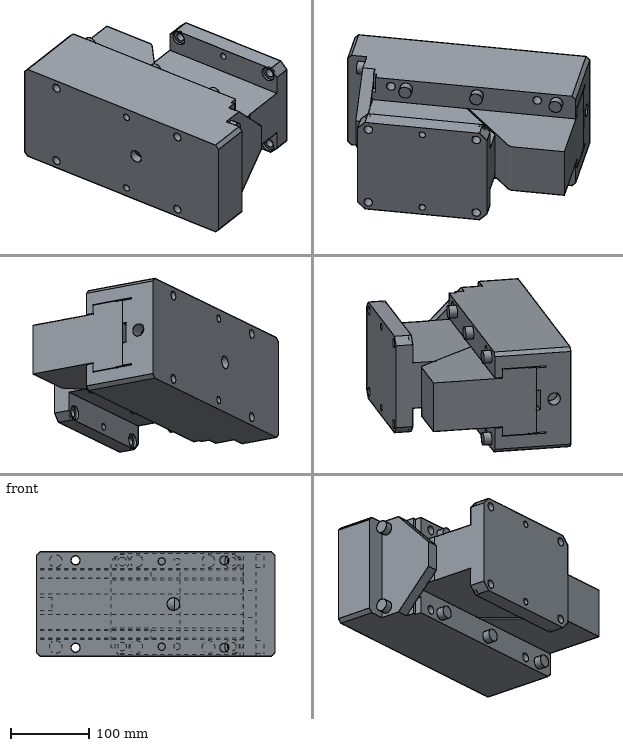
import cadquery as cq
import math


length = 305.0
housing_depth = 99.7
housing_height = 134.0
edge_chamfer = 5.0
base_depth = 51.5
stop_back_x = 280.3
stop_front_x = 264.5
stop_bevel_y = 79.3
stop_top_y = 129.0

slot_floor_y = 45.5
slot_half = 45.0
lip_y = 90.0
lip_half = 33.5
relief_floor_y = 32.5
relief_width = 1.8
groove_floor_y = 40.3
groove_width = 26.2
notch_length = 4.3
notch_depth = 8.8

mount_hole_dia = 11.3
mount_hole_xs = (50.0, 240.0)
mount_hole_z = 55.8
dowel_dia = 9.0
dowel_x = 160.0
dowel_z = 54.5
dowel_depth = 20.0
port_dia = 16.2
port_x = 175.0
port_y = 22.0
side_port_depth = 20.0
core_dia = 24.5
core_end_x = 176.5
port_floor_angle = 38
head_dia = 16.2
head_height = 10.5
head_xs = (24.7, 127.8, 220.0)
head_z = 55.0
stop_head_y = 59.8

wedge_top_y = 180.3
wedge_angle = 50.2
wedge_top_length = 71.0
wedge_corner_radius = 9.0
wedge_flange_half = 44.5
wedge_foot_half = 44.0
wedge_foot_y = 55.5
wedge_stem_half = 32.5

total_depth = 207.0
flange_thickness = 22.0
flange_start_x = 95.5
flange_end_x = 263.8
flange_height = 129.3
flange_chamfer = 9.8
carriage_half = 30.5
pad_top_y = 125.7
bolt_dia = 11.0
bolt_head_dia = 18.3
bolt_head_depth = 3.7
bolt_half_span = 70.0
bolt_z = 54.3
flange_dowel_dia = 8.2


def box(x0, x1, y0, y1, half):
    """Block between the given X and Y limits, reaching `half` each way in Z."""
    return cq.Workplane("XY").box(x1 - x0, y1 - y0, 2 * half, centered=False).translate((x0, y0, -half))


def plate_xy(points, half):
    """XY outline extruded `half` each way in Z."""
    return cq.Workplane("XY").polyline(points).close().extrude(half, both=True)


def rod_y(dia, x, z, y0, y1):
    """Cylinder along Y."""
    return cq.Workplane("XZ", origin=(x, y0, z)).circle(dia / 2).extrude(y0 - y1)


def rod_x(dia, y, z, x0, x1):
    """Cylinder along X."""
    return cq.Workplane("YZ", origin=(x0, y, z)).circle(dia / 2).extrude(x1 - x0)


def ramp_x(y):
    """X of the sloping contact face between wedge and carriage."""
    return wedge_top_length + (wedge_top_y - y) / math.tan(math.radians(wedge_angle))


def make_front_port():
    """Bore in the mounting face, ending on a round core along X and a sloping floor beside it."""
    edge_x = port_x + port_dia / 2
    rise = (edge_x - core_end_x) * math.tan(math.radians(port_floor_angle))
    bore = rod_y(port_dia, port_x, 0, 0, port_y)
    core = rod_x(core_dia, port_y, 0, port_x - port_dia, core_end_x)
    floor = plate_xy([(core_end_x, port_y), (edge_x, port_y), (edge_x, port_y - rise)], port_dia)
    return bore.cut(core).cut(floor)


def make_housing():
    """Stepped block with its end stop, T-slot, holes and screw heads."""
    half = housing_height / 2
    block = box(0, length, 0, housing_depth, half).edges("|Y").chamfer(edge_chamfer)
    block = block.cut(box(stop_back_x, length, base_depth, housing_depth, half))
    block = block.cut(box(stop_front_x, length, stop_bevel_y, housing_depth, half))

    notch_x = stop_front_x - notch_length
    notches = box(notch_x, stop_front_x, housing_depth - notch_depth, housing_depth, half)
    block = block.cut(notches.cut(box(notch_x, stop_front_x, 0, housing_depth, slot_half)))

    tip_half = half - (stop_top_y - stop_bevel_y)
    stop = (
        cq.Workplane("YZ", origin=(stop_front_x, 0, 0))
        .polyline([(stop_bevel_y, -half), (stop_bevel_y, half), (stop_top_y, tip_half), (stop_top_y, -tip_half)])
        .close()
        .extrude(stop_back_x - stop_front_x)
    )
    block = block.union(stop)

    block = block.cut(box(0, stop_front_x, slot_floor_y, lip_y, slot_half))
    block = block.cut(box(0, stop_front_x, lip_y, housing_depth, lip_half))
    block = block.cut(box(0, stop_front_x, groove_floor_y, slot_floor_y, groove_width / 2))
    relief = box(0, stop_front_x, relief_floor_y, slot_floor_y, relief_width / 2)
    for side in (-1, 1):
        block = block.cut(relief.translate((0, 0, side * (slot_half - relief_width / 2))))

    for side in (-1, 1):
        for x in mount_hole_xs:
            block = block.cut(rod_y(mount_hole_dia, x, side * mount_hole_z, 0, housing_depth))
        block = block.cut(rod_y(dowel_dia, dowel_x, side * dowel_z, 0, dowel_depth))
        for x in head_xs:
            block = block.union(rod_y(head_dia, x, side * head_z, housing_depth, housing_depth + head_height))
        block = block.union(rod_x(head_dia, stop_head_y, side * head_z, stop_back_x, stop_back_x + head_height))

    block = block.cut(make_front_port())
    return block.cut(rod_x(port_dia, port_y, 0, 0, side_port_depth))


def make_wedge():
    """Stepped slide: narrowed foot and flange under the lips, stem between them."""

    def layer(y0, y1, half):
        return plate_xy([(0, y0), (ramp_x(y0), y0), (ramp_x(y1), y1), (0, y1)], half)

    wedge = layer(slot_floor_y, wedge_foot_y, wedge_foot_half)
    wedge = wedge.union(layer(wedge_foot_y, lip_y, wedge_flange_half))
    stem = layer(lip_y, wedge_top_y, wedge_stem_half)
    top_corner = stem.edges("|Z").edges(">Y").edges(">X")
    return wedge.union(top_corner.fillet(wedge_corner_radius))


def make_carriage():
    """Stem riding on the ramp and against the stop, carrying the bolt flange."""
    flange_y = total_depth - flange_thickness
    ramp_drop = (flange_start_x - wedge_top_length) * math.tan(math.radians(wedge_angle))
    carriage = plate_xy(
        [
            (ramp_x(slot_floor_y), slot_floor_y),
            (stop_front_x, slot_floor_y),
            (stop_front_x, pad_top_y),
            (flange_end_x, pad_top_y),
            (flange_end_x, flange_y),
            (flange_start_x, flange_y),
            (flange_start_x, wedge_top_y - ramp_drop),
        ],
        carriage_half,
    )
    flange = box(flange_start_x, flange_end_x, flange_y, total_depth, flange_height / 2)
    carriage = carriage.union(flange.edges("|Y").chamfer(flange_chamfer))
    centre_x = (flange_start_x + flange_end_x) / 2
    for side in (-1, 1):
        z = side * bolt_z
        carriage = carriage.cut(rod_y(flange_dowel_dia, centre_x, z, flange_y, total_depth))
        for x in (centre_x - bolt_half_span, centre_x + bolt_half_span):
            carriage = carriage.cut(rod_y(bolt_dia, x, z, flange_y, total_depth))
            carriage = carriage.cut(rod_y(bolt_head_dia, x, z, flange_y, flange_y + bolt_head_depth))
    return carriage


housing = make_housing().solids()
wedge = make_wedge().solids()
carriage = make_carriage().solids()
result = cq.Compound.makeCompound([housing.val(), wedge.val(), carriage.val()])